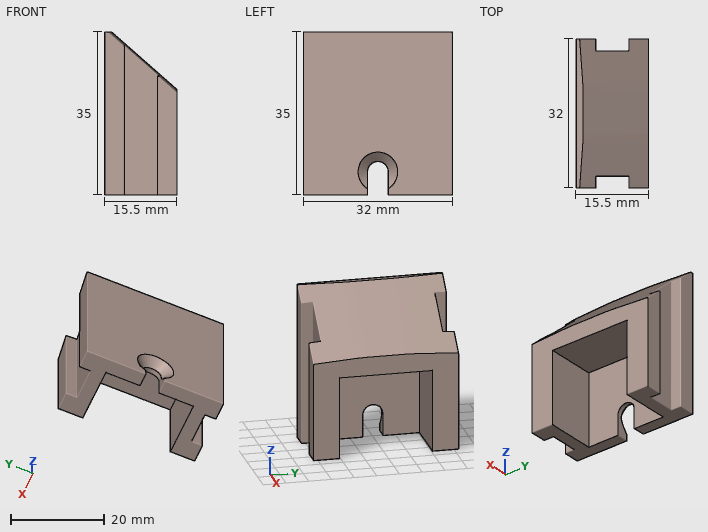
import cadquery as cq
import math

thickness = 15.5
width = 32.0
height = 35.0
half_width = width / 2

ledge_center = 1.47
ledge_side = 0.75
slope_drop = 12.35
slope = slope_drop / (thickness - ledge_center)
crown_half_width = 5.53
crown_blend_radius = 36.05

groove_start = 4.25
groove_width = thickness - 2 * groove_start
groove_depth = 2.55
groove_corner_radius = 0.1

plate_thickness = 3.2
slot_radius = 2.2
slot_center_height = 5.0
countersink_radius = 4.25
countersink_depth = countersink_radius - slot_radius

side_wall = plate_thickness
roof_thickness = 4.2
cavity_width = width - 2 * (groove_depth + side_wall)
cavity_height = height - slope_drop - roof_thickness

edge_radius = 0.2


def top_edge(side):
    """Half of the ledge's front edge, as (flat end, blend end, outer end) points in X and Y."""
    turn = math.atan((ledge_center - ledge_side) / (half_width - crown_half_width))
    flat_end = crown_half_width - crown_blend_radius * math.tan(turn / 2)
    blend_end = flat_end + crown_blend_radius * math.sin(turn)
    blend_ledge = ledge_center - crown_blend_radius * (1 - math.cos(turn))
    return (
        (ledge_center, side * flat_end),
        (blend_ledge, side * blend_end),
        (ledge_side, side * half_width),
    )


def crowned_block():
    """Block under a top outline that is swept down the slope from the ledge."""
    block = cq.Workplane("XY").box(thickness, width, height, centered=(False, True, False))
    run = height / slope
    left_flat, left_blend, left_outer = top_edge(1)
    right_flat, right_blend, right_outer = top_edge(-1)
    top_wire = (
        cq.Workplane("XY", origin=(0, 0, height))
        .moveTo(*right_flat)
        .lineTo(*left_flat)
        .tangentArcPoint(left_blend, relative=False)
        .lineTo(*left_outer)
        .lineTo(-run, half_width)
        .lineTo(-run, -half_width)
        .lineTo(*right_outer)
        .lineTo(*right_blend)
        .tangentArcPoint(right_flat, relative=False)
        .close()
        .val()
    )
    down_slope = cq.Vector(run, 0, -height)
    swept_top = cq.Solid.extrudeLinear(cq.Face.makeFromWires(top_wire), down_slope)
    return block.intersect(cq.Workplane(swept_top))


def side_groove(side):
    return (
        cq.Workplane("XY")
        .center(groove_start + groove_width / 2, side * half_width)
        .rect(groove_width, 2 * groove_depth)
        .extrude(height)
        .edges("|Z")
        .fillet(groove_corner_radius)
    )


def slot():
    upright = cq.Workplane("XY").box(
        plate_thickness, 2 * slot_radius, slot_center_height, centered=(False, True, False)
    )
    round_end = cq.Workplane("YZ").center(0, slot_center_height).circle(slot_radius).extrude(plate_thickness)
    return upright.union(round_end)


def countersink():
    cone = cq.Solid.makeCone(
        countersink_radius,
        slot_radius,
        countersink_depth,
        pnt=cq.Vector(0, 0, slot_center_height),
        dir=cq.Vector(1, 0, 0),
    )
    return cq.Workplane(cone)


def cavity():
    depth = thickness - plate_thickness
    block = cq.Workplane("XY").box(depth, cavity_width, cavity_height, centered=(False, True, False))
    return block.translate((plate_thickness, 0, 0))


def side_region(side, inner_y, bottom_z):
    """Selector for edges centered beyond inner_y on one side and above bottom_z."""
    return cq.selectors.BoxSelector((0, side * inner_y, bottom_z), (thickness, side * width, 2 * height))


def round_outer_edges(block):
    """Round the outer corners, but not the slope's crest or the top edge of the +X face."""
    groove_floor = half_width - groove_depth
    edges = block.faces("<X or <Z").edges()
    for side in (-1, 1):
        outer_corners = side_region(side, groove_floor + edge_radius, 0)
        edges = edges.add(block.edges("|Z").edges(outer_corners))
        top_of_side = side_region(side, groove_floor - edge_radius, height / 2 + edge_radius)
        edges = edges.add(block.edges(top_of_side))
    return block.newObject(edges.vals()).fillet(edge_radius)


def round_slot_mouth(block):
    """Round the two upright edges where the slot meets the -X face below the countersink."""
    mouth = cq.selectors.BoxSelector(
        (-edge_radius, -slot_radius - edge_radius, 0),
        (edge_radius, slot_radius + edge_radius, slot_center_height),
    )
    return block.edges("|Z").edges(mouth).fillet(edge_radius)


body = crowned_block()
for side in (-1, 1):
    body = body.cut(side_groove(side))

body = round_outer_edges(body)
body = body.cut(cavity()).cut(slot()).cut(countersink())
result = round_slot_mouth(body)